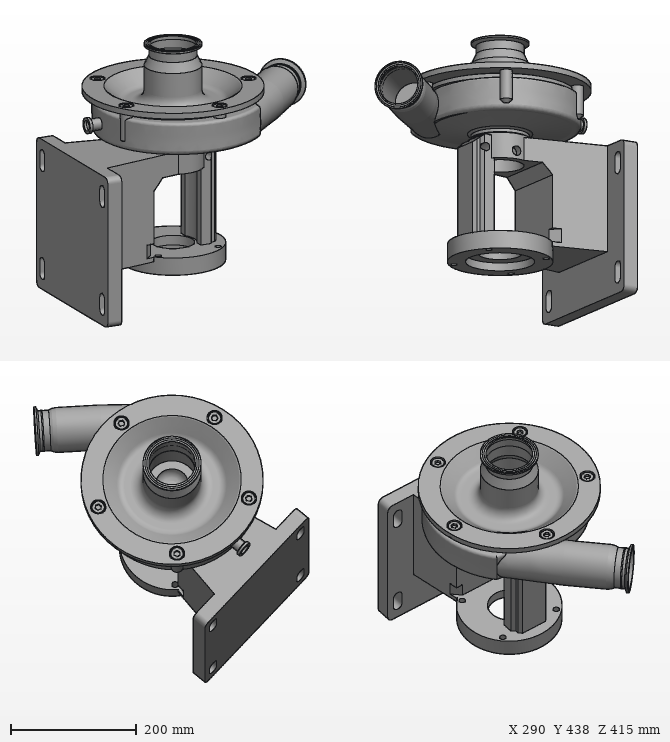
import cadquery as cq
import math


plate_size = 250.0
plate_thickness = 25.0
plate_outer_y = -180.0
plate_inner_y = plate_outer_y + plate_thickness
plate_corner_radius = 10.0
slot_width = 17.0
slot_length = 36.0
slot_spacing_x = 210.0
slot_spacing_z = 180.0

arm_root_half_width = 74.0
arm_tip_half_width = 48.7
arm_tip_y = -15.0
arm_depth = 38.0
leg_inner_y = -63.0
leg_bottom_z = -174.5
arm_chamfer_y = 17.0
arm_chamfer_z = 19.0

lantern_radius = 51.0
lantern_top_z = 3.5
lantern_bore_radius = 38.0
drain_diameter = 15.5
drain_z = -24.5
cross_hole_diameter = 13.5
cross_hole_y = 47.2
cross_hole_z = -20.5

post_half_width = 34.6
post_inner_y = 32.0
post_outer_y = 65.0
post_step_y = 50.0
post_ledge_start_y = 54.4
post_ledge_end_y = 60.0
post_ledge_half_width = 28.0
post_back_half_width = 23.0
rear_chamfer_length = 20.3
rear_chamfer_height = 16.0

motor_ring_radius = 84.0
motor_ring_bore_radius = 34.5
motor_ring_top_z = -167.0
motor_ring_bottom_z = -196.0
motor_pilot_radius = 55.0
motor_pilot_depth = 13.0
motor_bolt_circle_radius = 75.5
motor_bolt_count = 4
first_motor_bolt_angle = 45.0
motor_bolt_diameter = 10.0
bolt_clearance_height = 22.5
bolt_clearance_distance = 12.3

cutwater_angle = 90.0
cutwater_radius = 118.0
volute_exit_angle = 405.0
volute_exit_radius = 146.0
volute_radii_between = {180.0: 127.0, 225.0: 128.0, 270.0: 131.2, 315.0: 138.0, 360.0: 143.0, 382.5: 144.2}
underside_radius = 115.0
casing_top_z = 75.0
casing_bottom_z = 22.0
casing_top_fillet = 5.0
casing_bottom_fillet = 7.0
neck_radius = 46.7
neck_bottom_z = 6.0
shoulder_radius = 52.0
shoulder_z = 14.0
throat_radius = 44.0
rim_radius = 120.0
rim_top_z = 82.0
spigot_radius = 112.0

flange_radius = 145.0
flange_bottom_z = 84.7
flange_top_z = 94.1
dish_lip_radius = 110.0
dish_lip_chamfer = 2.2
dish_cone_end_radius = 87.0
dish_floor_outer_radius = 76.0
dish_floor_inner_radius = 65.0
dish_floor_z = 69.5
dish_fillet_radius = 16.0

nozzle_radius = 46.2
nozzle_cone_start_z = 129.0
nozzle_cone_end_z = 145.0
nozzle_top_z = 165.0
nozzle_neck_radius = 38.5
nozzle_bore_radius = 37.0
nozzle_flare_start_z = 126.0
nozzle_flare_end_z = 117.0
nozzle_flare_radius = 40.0
nozzle_floor_z = 75.0
bowl_radius = 26.0
bowl_floor_radius = 11.0

clamp_rim = 3.0
clamp_taper = 3.0
groove_half_width = 1.5

bolt_count = 5
bolt_circle_radius = 126.2
first_bolt_angle = 9.0
boss_radius = 10.0
boss_bottom_z = 31.0
boss_chamfer = 6.0
counterbore_radius = 12.0
counterbore_depth = 5.0
head_radius = 10.0
head_drop = 1.0
socket_across_corners = 10.5
socket_depth = 4.0

discharge_offset = 115.0
discharge_heading = 45.0
discharge_z = 47.3
discharge_start_radius = 32.0
discharge_radius = 36.0
discharge_neck_radius = 32.5
discharge_collar_radius = 34.8
discharge_bore_radius = 31.0
discharge_clamp_radius = 38.9
discharge_cone_end = 105.6
discharge_pipe_end = 176.5
discharge_collar_at = 183.0
discharge_neck_at = 188.0
discharge_bead_at = 198.4
discharge_bead_length = 2.0
discharge_bead_radius = 33.2
discharge_end = 211.0

port_z = 49.4
port_end_y = -154.3
port_start_y = -120.0
port_radius = 9.8
port_clamp_radius = 12.9
port_clamp_thickness = 5.0
port_bore_radius = 8.5


def vertical_cylinder(radius, bottom, top):
    return cq.Workplane("XY").workplane(offset=bottom).circle(radius).extrude(top - bottom)


def turned(outline):
    """Revolve an outline of (radius, height) about the local vertical axis."""
    return outline.close().revolve(360, (0, 0, 0), (0, 1, 0))


def box_between(corner, opposite):
    size = [b - a for a, b in zip(corner, opposite)]
    return cq.Workplane("XY").box(*size, centered=False).translate(corner)


def gasket_groove(radius, face_height):
    """Round-bottomed ring that cuts a gasket groove into a clamp face."""
    outline = (
        cq.Workplane("XZ")
        .moveTo(radius - groove_half_width, face_height)
        .threePointArc((radius, face_height - groove_half_width), (radius + groove_half_width, face_height))
    )
    return turned(outline)


def make_wall_plate():
    center_z = -plate_size / 2
    plate = (
        box_between((-plate_size / 2, plate_outer_y, -plate_size), (plate_size / 2, plate_inner_y, 0))
        .edges("|Y")
        .fillet(plate_corner_radius)
    )
    slots = (
        cq.Workplane("XZ", origin=(0, plate_inner_y, center_z))
        .rarray(slot_spacing_x, slot_spacing_z, 2, 2)
        .slot2D(slot_length, slot_width, 90)
        .extrude(plate_thickness)
    )
    return plate.cut(slots)


def make_arm():
    side_profile = (
        cq.Workplane("YZ", origin=(-plate_size / 2, 0, 0))
        .moveTo(plate_inner_y, 0)
        .lineTo(0, 0)
        .lineTo(0, -arm_depth)
        .lineTo(leg_inner_y + arm_chamfer_y, -arm_depth)
        .lineTo(leg_inner_y, -arm_depth - arm_chamfer_z)
        .lineTo(leg_inner_y, leg_bottom_z)
        .lineTo(plate_inner_y, leg_bottom_z)
        .close()
        .extrude(plate_size)
    )
    plan_profile = (
        cq.Workplane("XY", origin=(0, 0, leg_bottom_z))
        .moveTo(-arm_root_half_width, plate_inner_y)
        .lineTo(arm_root_half_width, plate_inner_y)
        .lineTo(arm_tip_half_width, arm_tip_y)
        .lineTo(-arm_tip_half_width, arm_tip_y)
        .close()
        .extrude(-leg_bottom_z)
    )
    return side_profile.intersect(plan_profile)


def make_post():
    half_outline = [
        (post_half_width, post_inner_y),
        (post_half_width, post_step_y),
        (post_ledge_half_width, post_ledge_start_y),
        (post_ledge_half_width, post_ledge_end_y),
        (post_back_half_width, post_outer_y),
    ]
    mirrored = [(-x, y) for x, y in reversed(half_outline)]
    return (
        cq.Workplane("XY", origin=(0, 0, motor_ring_top_z))
        .polyline(half_outline + mirrored)
        .close()
        .extrude(-motor_ring_top_z)
    )


def rear_chamfer():
    """Slanted cut across the top of the post and the rear of the lantern ring."""
    return (
        cq.Workplane("YZ", origin=(-lantern_radius, 0, 0))
        .moveTo(post_outer_y, lantern_top_z - rear_chamfer_height)
        .lineTo(post_outer_y, lantern_top_z)
        .lineTo(post_outer_y - rear_chamfer_length, lantern_top_z)
        .close()
        .extrude(2 * lantern_radius)
    )


def make_motor_ring():
    return vertical_cylinder(motor_ring_radius, motor_ring_bottom_z, motor_ring_top_z)


def motor_bolt_holes():
    return (
        cq.Workplane("XY", origin=(0, 0, motor_ring_bottom_z))
        .polarArray(motor_bolt_circle_radius, first_motor_bolt_angle, 360, motor_bolt_count)
        .circle(motor_bolt_diameter / 2)
        .extrude(motor_ring_top_z - motor_ring_bottom_z)
    )


def bolt_clearances():
    """Diagonal cuts that free the two motor bolts beside the leg."""
    reach = plate_size / 2
    left = box_between(
        (-reach, -reach, motor_ring_top_z),
        (bolt_clearance_distance, 0, motor_ring_top_z + bolt_clearance_height),
    ).rotate((0, 0, 0), (0, 0, 1), -45)
    beside_leg = box_between((-plate_size, plate_outer_y, motor_ring_top_z), (0, 0, 0))
    left = left.intersect(beside_leg)
    return left.union(left.mirror("YZ"))


def make_bracket():
    lantern = vertical_cylinder(lantern_radius, -arm_depth, lantern_top_z)
    bracket = lantern.union(make_arm()).union(make_post()).union(make_motor_ring())
    bracket = bracket.union(make_wall_plate())
    bracket = bracket.cut(vertical_cylinder(lantern_bore_radius, motor_ring_top_z, 0))
    bracket = bracket.cut(vertical_cylinder(motor_ring_bore_radius, motor_ring_bottom_z, motor_ring_top_z))
    pilot_top_z = motor_ring_bottom_z + motor_pilot_depth
    bracket = bracket.cut(vertical_cylinder(motor_pilot_radius, motor_ring_bottom_z, pilot_top_z))
    bracket = bracket.cut(rear_chamfer())
    bracket = bracket.cut(motor_bolt_holes()).cut(bolt_clearances())
    drain = (
        cq.Workplane("YZ", origin=(-lantern_radius, 0, 0))
        .center(0, drain_z)
        .circle(drain_diameter / 2)
        .extrude(lantern_radius)
    )
    cross_hole = (
        cq.Workplane("YZ", origin=(-lantern_radius, 0, 0))
        .center(cross_hole_y, cross_hole_z)
        .circle(cross_hole_diameter / 2)
        .extrude(2 * lantern_radius)
    )
    return bracket.cut(drain).cut(cross_hole)


def volute_drum():
    """Casing body whose radius grows anticlockwise from the cutwater to the discharge."""
    radii = {
        cutwater_angle: cutwater_radius,
        **volute_radii_between,
        volute_exit_angle: volute_exit_radius,
    }
    points = []
    for angle, radius in radii.items():
        turn = math.radians(angle)
        points.append((radius * math.cos(turn), radius * math.sin(turn)))
    return (
        cq.Workplane("XY", origin=(0, 0, casing_bottom_z))
        .spline(points)
        .close()
        .extrude(casing_top_z - casing_bottom_z)
    )


def make_casing():
    drum = volute_drum()
    drum = drum.faces(">Z").edges().fillet(casing_top_fillet)
    drum = drum.faces("<Z").edges().fillet(casing_bottom_fillet)
    underside = (
        cq.Workplane("XZ")
        .moveTo(0, casing_bottom_z)
        .lineTo(underside_radius, casing_bottom_z)
        .lineTo(shoulder_radius, shoulder_z)
        .lineTo(neck_radius, shoulder_z - (shoulder_radius - neck_radius) / 2)
        .lineTo(neck_radius, neck_bottom_z)
        .lineTo(throat_radius, neck_bottom_z)
        .lineTo(throat_radius, lantern_top_z)
        .lineTo(0, lantern_top_z)
    )
    rim = vertical_cylinder(rim_radius, casing_top_z, rim_top_z)
    spigot = vertical_cylinder(spigot_radius, rim_top_z, flange_bottom_z)
    return drum.union(turned(underside)).union(rim).union(spigot)


def make_cover():
    """Return the flange with its nozzle, and the dish to cut from the flange."""
    fillet_sweep = math.asin((dish_cone_end_radius - dish_floor_outer_radius) / dish_fillet_radius)
    cone_end_z = dish_floor_z + dish_fillet_radius * (1 - math.cos(fillet_sweep))
    fillet_mid = (
        dish_floor_outer_radius + dish_fillet_radius * math.sin(fillet_sweep / 2),
        dish_floor_z + dish_fillet_radius * (1 - math.cos(fillet_sweep / 2)),
    )
    root_fillet = dish_floor_inner_radius - nozzle_radius
    root_mid_shift = root_fillet * math.sin(math.pi / 4)
    root_mid = (
        dish_floor_inner_radius - root_mid_shift,
        dish_floor_z + root_fillet - root_mid_shift,
    )
    nozzle = (
        cq.Workplane("XZ")
        .moveTo(0, flange_bottom_z)
        .lineTo(0, nozzle_top_z)
        .lineTo(nozzle_radius, nozzle_top_z)
        .lineTo(nozzle_radius, nozzle_top_z - clamp_rim)
        .lineTo(nozzle_neck_radius, nozzle_top_z - clamp_rim - clamp_taper)
        .lineTo(nozzle_neck_radius, nozzle_cone_end_z)
        .lineTo(nozzle_radius, nozzle_cone_start_z)
        .lineTo(nozzle_radius, flange_bottom_z)
    )
    flange = vertical_cylinder(flange_radius, flange_bottom_z, flange_top_z)
    dish = (
        cq.Workplane("XZ")
        .moveTo(nozzle_radius, flange_top_z)
        .lineTo(nozzle_radius, dish_floor_z + root_fillet)
        .threePointArc(root_mid, (dish_floor_inner_radius, dish_floor_z))
        .lineTo(dish_floor_outer_radius, dish_floor_z)
        .threePointArc(fillet_mid, (dish_cone_end_radius, cone_end_z))
        .lineTo(dish_lip_radius - dish_lip_chamfer, flange_top_z - dish_lip_chamfer / 2)
        .lineTo(dish_lip_radius, flange_top_z)
    )
    return flange.union(turned(nozzle)), turned(dish)


def suction_bore():
    bowl_depth = bowl_radius - bowl_floor_radius
    mid_shift = bowl_depth * math.sin(math.pi / 4)
    outline = (
        cq.Workplane("XZ")
        .moveTo(0, nozzle_top_z)
        .lineTo(nozzle_bore_radius, nozzle_top_z)
        .lineTo(nozzle_bore_radius, nozzle_flare_start_z)
        .lineTo(nozzle_flare_radius, nozzle_flare_end_z)
        .lineTo(nozzle_flare_radius, nozzle_floor_z)
        .lineTo(bowl_radius, nozzle_floor_z)
        .threePointArc(
            (bowl_floor_radius + mid_shift, nozzle_floor_z - mid_shift),
            (bowl_floor_radius, nozzle_floor_z - bowl_depth),
        )
        .lineTo(0, nozzle_floor_z - bowl_depth)
    )
    groove_radius = (nozzle_bore_radius + nozzle_radius) / 2
    return turned(outline).union(gasket_groove(groove_radius, nozzle_top_z))


def at_cover_bolts(body):
    """Copies of a body built on the pump axis, one at each cover bolt."""
    copies = cq.Workplane("XY")
    for index in range(bolt_count):
        angle = first_bolt_angle + index * 360 / bolt_count
        moved = body.translate((bolt_circle_radius, 0, 0)).rotate((0, 0, 0), (0, 0, 1), angle)
        copies = copies.add(moved)
    return copies.combine()


def make_boss():
    boss = vertical_cylinder(boss_radius, boss_bottom_z, flange_bottom_z)
    return boss.faces("<Z").edges().chamfer(boss_chamfer)


def bolt_recess():
    """Space left round a socket-head bolt, including the hexagonal socket."""
    counterbore_z = flange_top_z - counterbore_depth
    head_top_z = flange_top_z - head_drop
    socket_z = head_top_z - socket_depth
    socket = (
        cq.Workplane("XY", origin=(0, 0, socket_z))
        .polygon(6, socket_across_corners)
        .extrude(socket_depth)
    )
    head = vertical_cylinder(head_radius, counterbore_z, head_top_z).cut(socket)
    return vertical_cylinder(counterbore_radius, counterbore_z, flange_top_z).cut(head)


def place_discharge(body):
    """Lay a body built along +Z onto the discharge axis."""
    heading = math.radians(discharge_heading)
    shift_x = discharge_offset * math.cos(heading)
    shift_y = discharge_offset * math.sin(heading)
    laid = body.rotate((0, 0, 0), (1, 0, 0), -90).rotate((0, 0, 0), (0, 0, 1), discharge_heading)
    return laid.translate((shift_x, shift_y, discharge_z))


def make_discharge():
    outline = (
        cq.Workplane("XZ")
        .lineTo(discharge_start_radius, 0)
        .lineTo(discharge_radius, discharge_cone_end)
        .lineTo(discharge_radius, discharge_pipe_end)
        .lineTo(discharge_collar_radius, discharge_collar_at)
        .lineTo(discharge_neck_radius, discharge_neck_at)
        .lineTo(discharge_neck_radius, discharge_bead_at)
        .lineTo(discharge_bead_radius, discharge_bead_at)
        .lineTo(discharge_bead_radius, discharge_bead_at + discharge_bead_length)
        .lineTo(discharge_neck_radius, discharge_bead_at + discharge_bead_length)
        .lineTo(discharge_neck_radius, discharge_end - clamp_rim - clamp_taper)
        .lineTo(discharge_clamp_radius, discharge_end - clamp_rim)
        .lineTo(discharge_clamp_radius, discharge_end)
        .lineTo(0, discharge_end)
    )
    return place_discharge(turned(outline))


def discharge_bore():
    bore = vertical_cylinder(discharge_bore_radius, discharge_cone_end, discharge_end)
    groove_radius = (discharge_bore_radius + discharge_clamp_radius) / 2
    return place_discharge(bore.union(gasket_groove(groove_radius, discharge_end)))


def make_port():
    plane = cq.Workplane("XZ", origin=(0, port_end_y, port_z))
    clamp = plane.circle(port_clamp_radius).extrude(-port_clamp_thickness)
    tube = plane.circle(port_radius).extrude(port_end_y - port_start_y)
    return clamp.union(tube)


def port_bore():
    plane = cq.Workplane("XZ", origin=(0, port_end_y, port_z))
    return plane.circle(port_bore_radius).extrude(port_end_y - port_start_y)


def make_pump():
    cover, dish = make_cover()
    pump = make_casing().union(make_discharge()).union(cover)
    pump = pump.union(at_cover_bolts(make_boss())).union(make_port())
    pump = pump.cut(dish).cut(suction_bore()).cut(discharge_bore()).cut(port_bore())
    return pump.cut(at_cover_bolts(bolt_recess()))


result = make_bracket().union(make_pump())